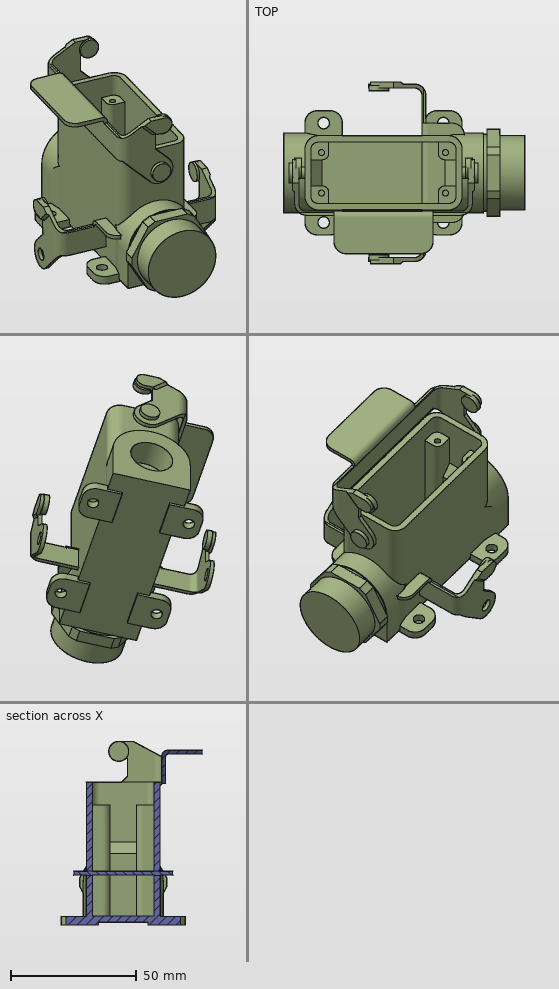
import cadquery as cq
import math


SHELL_LENGTH = 62.9
SHELL_WIDTH = 29.7
SHELL_HEIGHT = 56.1
SHELL_CORNER = 5.5
END_WALL = 2.4
SIDE_WALL = 2.6
FLOOR = 2.6
CAVITY_LENGTH = SHELL_LENGTH - 2 * END_WALL
CAVITY_WIDTH = SHELL_WIDTH - 2 * SIDE_WALL
CAVITY_CORNER = SHELL_CORNER - SIDE_WALL

HUB_RADIUS = 16.0
HUB_LENGTH = 79.9
ENTRY_DIAMETER = 17.4
HUB_AXIS_Z = HUB_RADIUS
HUB_TOP_Z = HUB_AXIS_Z + HUB_RADIUS

BOSS_LENGTH = 7.1
BOSS_WIDTH = 7.0
BOSS_CORNER = 2.7
BOSS_DROP = 9.1
BOSS_TOP_Z = SHELL_HEIGHT - BOSS_DROP
BOSS_HOLE_X = 24.8
BOSS_HOLE_Y = 8.1
BOSS_HOLE_DIAMETER = 2.4
BOSS_HOLE_DEPTH = 7.7
BLOCK_DEPTH = BOSS_LENGTH - BOSS_CORNER

FOOT_SIZE = 15.1
FOOT_BOTTOM_Z = -1.2
FOOT_THICKNESS = 3.6
FOOT_CORNER = 5.0
FOOT_HOLE_DIAMETER = 4.5
FOOT_OUTER_Y = 24.9

PIN_Z = 48.3
PIN_DIAMETER = 4.7
PIN_HEAD_DIAMETER = 8.0
PIN_HEAD_THICKNESS = 1.6
PIN_TIP_X = 37.7

COLLAR_DIAMETER = 31.0
COLLAR_LENGTH = 1.4
NUT_ACROSS_FLATS = 2 * HUB_RADIUS
NUT_ACROSS_CORNERS = 34.9
NUT_LENGTH = 5.1
TAIL_DIAMETER = 30.0
TAIL_LENGTH = 10.0

SHEET = 1.6
ARM_OUTER_X = 35.5
BEND_RADIUS = 4.5
STRAP_OUTER_Y = -17.0
STRAP_BOTTOM_Z = 7.1
STRAP_TOP_Z = 17.7
PIVOT_END_RADIUS = 6.0
PIVOT_HOLE_DIAMETER = 5.0
NECK_Y = -1.6
HEAD_Y = 1.8
HEAD_HEIGHT = 6.85
HEAD_RADIUS = HEAD_HEIGHT / 2
HEAD_TOP_Z = 24.0
HEAD_BOTTOM_Z = HEAD_TOP_Z - HEAD_HEIGHT
SHOULDER_START_Y = -4.1
SHOULDER_END_Y = -15.9
PAD_HEIGHT = 0.9
PAD_RAMP_START = 9.9
PAD_RAMP_LENGTH = 1.2
BUTTON_DIAMETER = 8.0
BUTTON_THICKNESS = 2.1
BUTTON_INNER_X = 32.8
TAB_LENGTH = 39.8
TAB_TIP_Y = -32.4
TAB_TOP_Z = 20.6
TAB_INNER_BEND = 1.1
TAB_CORNER = 5.0

SIDES = (-1, 1)


def block(length, width, bottom_z, top_z, x=0, y=0):
    """Box centred on (x, y) between two heights."""
    return cq.Workplane("XY", origin=(x, y, bottom_z)).rect(length, width).extrude(top_z - bottom_z)


def x_cylinder(diameter, start_x, end_x, y=0, z=0):
    """Cylinder along X between two X positions."""
    return (
        cq.Workplane("YZ", origin=(start_x, y, z))
        .circle(diameter / 2)
        .extrude(end_x - start_x)
    )




def make_hubs():
    """D-shaped bar along X, tapered in plan into the sides of the shell."""
    arch = (
        cq.Workplane("YZ", origin=(-HUB_LENGTH / 2, 0, 0))
        .moveTo(-HUB_RADIUS, 0)
        .lineTo(HUB_RADIUS, 0)
        .lineTo(HUB_RADIUS, HUB_AXIS_Z)
        .threePointArc((0, HUB_TOP_Z), (-HUB_RADIUS, HUB_AXIS_Z))
        .close()
        .extrude(HUB_LENGTH)
    )
    taper_start_x = SHELL_LENGTH / 2
    taper_end_x = taper_start_x - SHELL_CORNER
    flank = [
        (-HUB_LENGTH / 2, HUB_RADIUS),
        (-taper_start_x, HUB_RADIUS),
        (-taper_end_x, SHELL_WIDTH / 2),
        (taper_end_x, SHELL_WIDTH / 2),
        (taper_start_x, HUB_RADIUS),
        (HUB_LENGTH / 2, HUB_RADIUS),
    ]
    opposite_flank = [(x, -y) for x, y in reversed(flank)]
    plan = cq.Workplane("XY").polyline(flank + opposite_flank).close().extrude(HUB_TOP_Z)
    return arch.intersect(plan)


def make_cavity():
    return (
        block(CAVITY_LENGTH, CAVITY_WIDTH, FLOOR, SHELL_HEIGHT)
        .edges("|Z")
        .fillet(CAVITY_CORNER)
    )


def make_boss(x_side, y_side):
    inner_corner = "<X" if x_side > 0 else ">X"
    inner_corner += " and " + ("<Y" if y_side > 0 else ">Y")
    x = x_side * (CAVITY_LENGTH - BOSS_LENGTH) / 2
    y = y_side * (CAVITY_WIDTH - BOSS_WIDTH) / 2
    hole = (
        cq.Workplane("XY", origin=(x_side * BOSS_HOLE_X, y_side * BOSS_HOLE_Y, BOSS_TOP_Z))
        .circle(BOSS_HOLE_DIAMETER / 2)
        .extrude(-BOSS_HOLE_DEPTH)
    )
    return (
        block(BOSS_LENGTH, BOSS_WIDTH, FLOOR, BOSS_TOP_Z, x, y)
        .edges("|Z")
        .edges(inner_corner)
        .fillet(BOSS_CORNER)
        .cut(hole)
    )


def make_end_block(x_side):
    """Block against an end wall, its top sloping down at 45 degrees into the cavity."""
    wall_x = x_side * CAVITY_LENGTH / 2
    inner_x = wall_x - x_side * BLOCK_DEPTH
    width = CAVITY_WIDTH - 2 * BOSS_WIDTH
    return (
        cq.Workplane("XZ")
        .polyline([
            (wall_x, FLOOR),
            (wall_x, HUB_TOP_Z),
            (inner_x, HUB_TOP_Z - BLOCK_DEPTH),
            (inner_x, FLOOR),
        ])
        .close()
        .extrude(width / 2, both=True)
    )


def make_foot(x_side, y_side):
    x = x_side * (SHELL_LENGTH - FOOT_SIZE) / 2
    y = y_side * (FOOT_OUTER_Y - FOOT_SIZE / 2)
    hole_y = y_side * (FOOT_OUTER_Y - FOOT_CORNER)
    top_z = FOOT_BOTTOM_Z + FOOT_THICKNESS
    hole = (
        cq.Workplane("XY", origin=(x, hole_y, FOOT_BOTTOM_Z))
        .circle(FOOT_HOLE_DIAMETER / 2)
        .extrude(FOOT_THICKNESS)
    )
    return (
        block(FOOT_SIZE, FOOT_SIZE, FOOT_BOTTOM_Z, top_z, x, y)
        .edges("|Z")
        .edges(">Y" if y_side > 0 else "<Y")
        .fillet(FOOT_CORNER)
        .cut(hole)
    )


def make_pin(x_side):
    """Headed pivot pin standing on an end wall."""
    head_x = PIN_TIP_X - PIN_HEAD_THICKNESS
    wall_x = (SHELL_LENGTH - END_WALL) / 2
    shank = x_cylinder(PIN_DIAMETER, x_side * wall_x, x_side * PIN_TIP_X, z=PIN_Z)
    head = x_cylinder(PIN_HEAD_DIAMETER, x_side * head_x, x_side * PIN_TIP_X, z=PIN_Z)
    return shank.union(head)


def make_housing():
    shell = block(SHELL_LENGTH, SHELL_WIDTH, 0, SHELL_HEIGHT).edges("|Z").fillet(SHELL_CORNER)
    cavity = make_cavity()
    housing = shell.union(make_hubs())
    for x_side in SIDES:
        for y_side in SIDES:
            housing = housing.union(make_foot(x_side, y_side))
    housing = housing.cut(cavity)
    for x_side in SIDES:
        housing = housing.union(make_end_block(x_side).intersect(cavity))
        housing = housing.union(make_pin(x_side))
        for y_side in SIDES:
            housing = housing.union(make_boss(x_side, y_side).intersect(cavity))
    cable_entry = x_cylinder(ENTRY_DIAMETER, -HUB_LENGTH / 2, -CAVITY_LENGTH / 2, z=HUB_AXIS_Z)
    return housing.cut(cable_entry)




def make_gland():
    """Collar, hexagonal nut with turned-down corners, and round tail in one piece."""
    collar_x = HUB_LENGTH / 2
    nut_x = collar_x + COLLAR_LENGTH
    tail_x = nut_x + NUT_LENGTH
    end_x = tail_x + TAIL_LENGTH
    points_per_flats = 1 / math.cos(math.radians(30))
    nut_face = cq.Workplane("YZ", origin=(nut_x, 0, HUB_AXIS_Z))
    hexagon = nut_face.polygon(6, NUT_ACROSS_FLATS * points_per_flats).extrude(NUT_LENGTH)
    corner_cutter = (
        nut_face.transformed(rotate=(0, 0, 30))
        .polygon(6, NUT_ACROSS_CORNERS * points_per_flats)
        .extrude(NUT_LENGTH)
    )
    collar = x_cylinder(COLLAR_DIAMETER, collar_x, nut_x, z=HUB_AXIS_Z)
    tail = x_cylinder(TAIL_DIAMETER, tail_x, end_x, z=HUB_AXIS_Z)
    return hexagon.intersect(corner_cutter).union(collar).union(tail)




def make_side_profile(half_length):
    """Side outline of the lever, extruded along X to both sides."""
    diagonal = PIVOT_END_RADIUS * math.sqrt(2)
    tangent = PIVOT_END_RADIUS / math.sqrt(2)
    return (
        cq.Workplane("YZ")
        .moveTo(tangent, tangent)
        .lineTo(NECK_Y, diagonal - NECK_Y)
        .lineTo(NECK_Y, HEAD_BOTTOM_Z)
        .lineTo(HEAD_Y, HEAD_BOTTOM_Z)
        .threePointArc((HEAD_Y + HEAD_RADIUS, HEAD_TOP_Z - HEAD_RADIUS), (HEAD_Y, HEAD_TOP_Z))
        .lineTo(SHOULDER_START_Y, HEAD_TOP_Z)
        .lineTo(SHOULDER_END_Y, STRAP_TOP_Z)
        .lineTo(STRAP_OUTER_Y, STRAP_TOP_Z)
        .lineTo(STRAP_OUTER_Y, STRAP_BOTTOM_Z)
        .lineTo(-diagonal - STRAP_BOTTOM_Z, STRAP_BOTTOM_Z)
        .lineTo(-tangent, -tangent)
        .threePointArc((tangent, -tangent), (tangent, tangent))
        .close()
        .extrude(half_length, both=True)
    )


def make_bent_strip():
    """U-shaped sheet in plan: a strap along X with an arm bent back at each end."""
    back_y = HEAD_Y + PIVOT_END_RADIUS
    width = back_y - STRAP_OUTER_Y
    y = (back_y + STRAP_OUTER_Y) / 2
    outside = (
        block(2 * ARM_OUTER_X, width, -PIVOT_END_RADIUS, HEAD_TOP_Z, y=y)
        .edges("|Z and <Y")
        .fillet(BEND_RADIUS)
    )
    inside = (
        block(2 * (ARM_OUTER_X - SHEET), width, -PIVOT_END_RADIUS, HEAD_TOP_Z, y=y + SHEET)
        .edges("|Z and <Y")
        .fillet(BEND_RADIUS - SHEET)
    )
    return outside.cut(inside)


def make_head_pad():
    """Raised layer outside the +X arm head, ramping down to the arm along a 45 degree line."""
    pad_x = ARM_OUTER_X + PAD_HEIGHT
    root_x = ARM_OUTER_X - SHEET
    reach = HEAD_TOP_Z + PIVOT_END_RADIUS
    ramp_plane = cq.Plane(origin=(0, 0, 0), xDir=(0, 1, 1), normal=(0, 1, -1))
    ramp = (
        cq.Workplane(ramp_plane)
        .polyline([
            (PAD_RAMP_START, root_x),
            (PAD_RAMP_START, ARM_OUTER_X),
            (PAD_RAMP_START + PAD_RAMP_LENGTH, pad_x),
            (reach, pad_x),
            (reach, root_x),
        ])
        .close()
        .extrude(reach, both=True)
    )
    head_zone = block(2 * pad_x, 2 * reach, HEAD_BOTTOM_Z, HEAD_TOP_Z)
    return make_side_profile(pad_x).intersect(ramp).intersect(head_zone)


def make_tab():
    """Finger tab bent outward from the top of the strap."""
    inner_y = STRAP_OUTER_Y + SHEET
    outer_bend = TAB_INNER_BEND + SHEET
    centre_y = STRAP_OUTER_Y - TAB_INNER_BEND
    centre_z = TAB_TOP_Z - outer_bend
    arc_shift = math.sqrt(0.5)
    return (
        cq.Workplane("YZ")
        .moveTo(STRAP_OUTER_Y, STRAP_BOTTOM_Z)
        .lineTo(inner_y, STRAP_BOTTOM_Z)
        .lineTo(inner_y, centre_z)
        .threePointArc(
            (centre_y + outer_bend * arc_shift, centre_z + outer_bend * arc_shift),
            (centre_y, TAB_TOP_Z),
        )
        .lineTo(TAB_TIP_Y, TAB_TOP_Z)
        .lineTo(TAB_TIP_Y, TAB_TOP_Z - SHEET)
        .lineTo(centre_y, TAB_TOP_Z - SHEET)
        .threePointArc(
            (centre_y + TAB_INNER_BEND * arc_shift, centre_z + TAB_INNER_BEND * arc_shift),
            (STRAP_OUTER_Y, centre_z),
        )
        .close()
        .extrude(TAB_LENGTH / 2, both=True)
        .edges("|Z and <Y")
        .fillet(TAB_CORNER)
    )


def make_lever():
    lever = make_bent_strip().intersect(make_side_profile(ARM_OUTER_X)).union(make_tab())
    button_z = HEAD_TOP_Z - BUTTON_DIAMETER / 2
    button_outer_x = BUTTON_INNER_X + BUTTON_THICKNESS
    button = x_cylinder(BUTTON_DIAMETER, BUTTON_INNER_X, button_outer_x, HEAD_Y, button_z)
    for detail in (make_head_pad(), button):
        lever = lever.union(detail).union(detail.mirror("YZ"))
    return lever.cut(x_cylinder(PIVOT_HOLE_DIAMETER, -ARM_OUTER_X, ARM_OUTER_X))


LEVER_PLACES = [(0, PIN_Z), (90, 0)]

levers = []
for turn, pivot_z in LEVER_PLACES:
    levers.append(make_lever().rotate((0, 0, 0), (0, 0, 1), turn).translate((0, 0, pivot_z)))

housing = make_housing().cut(levers[1])
gland = make_gland()

result = cq.Compound.makeCompound([
    housing.val(),
    gland.val(),
    *[lever.val() for lever in levers],
])